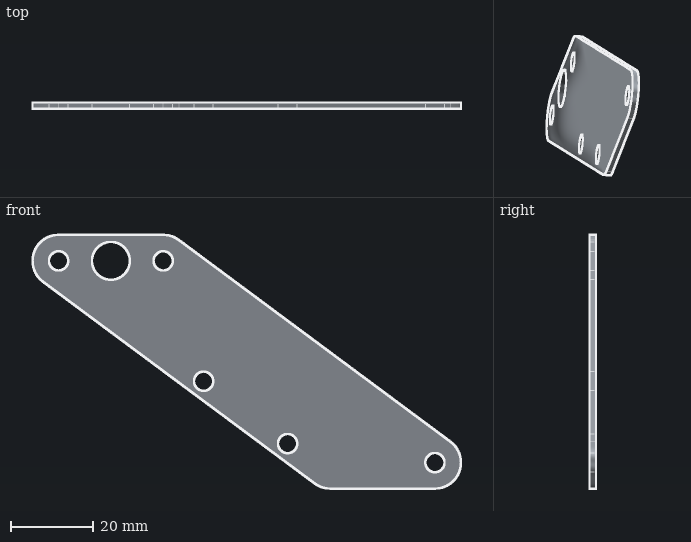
import cadquery as cq

thickness = 1.59
corner_radius = 6.35
overall_length = 104.08
overall_height = 61.69
hole_pitch = 25.4

small_hole_diameter = 4.62
large_hole_diameter = 9.14
edge_hole_margin = 3.88
edge_hole_start = 45.7

center_x = overall_length / 2 - corner_radius
center_z = overall_height / 2 - corner_radius
upper_left = cq.Vector(-center_x, center_z)
upper_right = upper_left + cq.Vector(hole_pitch, 0)
lower_right = cq.Vector(center_x, -center_z)
lower_left = lower_right - cq.Vector(hole_pitch, 0)

slant = (lower_left - upper_left).normalized()
outward = cq.Vector(slant.y, -slant.x)


def front_plane():
    """XZ sketch plane on the +Y face; extruding runs toward -Y."""
    return cq.Workplane("XZ", origin=(0, thickness / 2, 0))


def make_plate():
    """Parallelogram through the corner centres, grown outward with round corners."""
    corners = [upper_left, upper_right, lower_right, lower_left]
    outline = front_plane().polyline(corners).close().offset2D(corner_radius, "arc")
    return outline.extrude(thickness)


def make_holes(centers, diameter):
    """Through-hole cutters of one diameter at the given centres."""
    return front_plane().pushPoints(centers).circle(diameter / 2).extrude(thickness)


def edge_hole_center(distance):
    """Centre of a hole beside the lower slanted edge, at a distance along that edge."""
    return upper_left + slant * distance + outward * (corner_radius - edge_hole_margin)


small_hole_centers = [
    upper_left,
    upper_right,
    lower_right,
    edge_hole_center(edge_hole_start),
    edge_hole_center(edge_hole_start + hole_pitch),
]
large_hole_center = (upper_left + upper_right) * 0.5

result = (
    make_plate()
    .cut(make_holes(small_hole_centers, small_hole_diameter))
    .cut(make_holes([large_hole_center], large_hole_diameter))
)